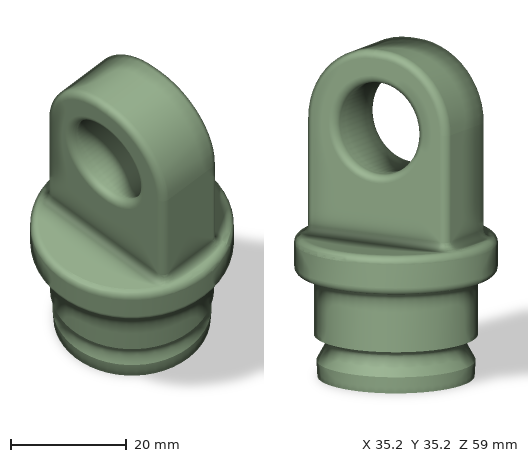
import cadquery as cq

total_height = 58.95
edge_radius = 1.35

tip_bottom_radius = 13.6
tip_radius = 13.8
tip_height = 2.9
neck_radius = 11.9
neck_bottom = 6.35
body_radius = 14.2
body_bottom = 7.4
flange_radius = 17.6
flange_bottom = 18.2
flange_top = 25.1

lug_width = 2 * body_radius
lug_thickness = 13.55
lug_crown_flat = 1.3
lug_crown_radius = (lug_width - lug_crown_flat) / 2
lug_shoulder = total_height - lug_crown_radius
eye_radius = 8.15
eye_height = 45.05


def make_plug():
    """Stepped plug with a tapered tip, a neck groove and a rounded flange."""
    profile = (
        cq.Workplane("XZ")
        .moveTo(0, 0)
        .lineTo(tip_bottom_radius, 0)
        .lineTo(tip_radius, tip_height)
        .lineTo(neck_radius, neck_bottom)
        .lineTo(neck_radius, body_bottom)
        .lineTo(body_radius, body_bottom)
        .lineTo(body_radius, flange_bottom)
        .lineTo(flange_radius, flange_bottom)
        .lineTo(flange_radius, flange_top)
        .lineTo(0, flange_top)
        .close()
    )
    plug = profile.revolve(360, (0, 0, 0), (0, 1, 0))
    flange_edges = cq.selectors.RadiusNthSelector(-1)
    return plug.edges("%CIRCLE").edges(flange_edges).fillet(edge_radius)


def make_lug():
    """Upright lug with a rounded crown and an eye, all face edges rounded."""
    half_width = lug_width / 2
    half_flat = lug_crown_flat / 2
    diagonal = lug_crown_radius * 0.5 ** 0.5
    lug = (
        cq.Workplane("XZ")
        .moveTo(-half_width, flange_top)
        .lineTo(half_width, flange_top)
        .lineTo(half_width, lug_shoulder)
        .threePointArc((half_flat + diagonal, lug_shoulder + diagonal), (half_flat, total_height))
        .lineTo(-half_flat, total_height)
        .threePointArc((-half_flat - diagonal, lug_shoulder + diagonal), (-half_width, lug_shoulder))
        .close()
        .extrude(lug_thickness / 2, both=True)
    )
    eye = (
        cq.Workplane("XZ")
        .center(0, eye_height)
        .circle(eye_radius)
        .extrude(lug_thickness, both=True)
    )
    lug = lug.cut(eye)
    return lug.faces("<Y or >Y").edges("not <Z").fillet(edge_radius)


def round_lug_root(part):
    """Blend the foot of the lug into the top of the flange."""
    margin = 0.05
    root_box = cq.selectors.BoxSelector(
        (-lug_width / 2 - margin, -lug_thickness / 2 - margin, flange_top - margin),
        (lug_width / 2 + margin, lug_thickness / 2 + margin, flange_top + margin),
        boundingbox=True,
    )
    return part.edges(root_box).fillet(edge_radius)


result = round_lug_root(make_plug().union(make_lug()))